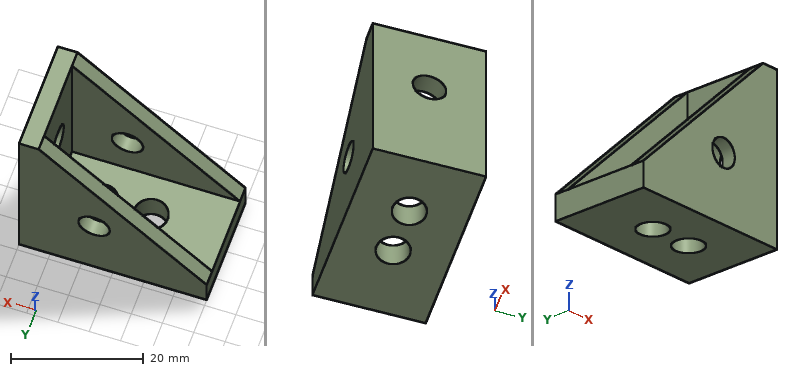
import cadquery as cq

leg = 30.0
width = 18.0

floor_thickness = 4.5
back_thickness = 3.15
cheek_thickness = 2.52

cheek_hole_diameter = 5.0
cheek_hole_x = 18.0
cheek_hole_z = 12.0
plate_hole_diameter = 5.3
floor_hole_positions = (12.0, 20.0)
back_hole_z = 18.0


def bracket_body():
    """Right-angle profile whose sloped side joins the ends of both plates."""
    profile = [
        (0, 0),
        (leg, 0),
        (leg, leg),
        (leg - back_thickness, leg),
        (0, floor_thickness),
    ]
    return cq.Workplane("XZ").polyline(profile).close().extrude(-width)


def inner_pocket():
    """Space between the cheeks, above the floor and in front of the back plate."""
    return cq.Workplane("XY").box(
        leg - back_thickness, width - 2 * cheek_thickness, leg - floor_thickness, centered=False
    ).translate((0, cheek_thickness, floor_thickness))


def cheek_holes():
    """One bore along Y through both cheeks."""
    return (
        cq.Workplane("XZ")
        .center(cheek_hole_x, cheek_hole_z)
        .circle(cheek_hole_diameter / 2)
        .extrude(-width)
    )


def floor_holes():
    """Vertical bores through the floor on the centre line."""
    centres = [(x, width / 2) for x in floor_hole_positions]
    return (
        cq.Workplane("XY")
        .pushPoints(centres)
        .circle(plate_hole_diameter / 2)
        .extrude(floor_thickness)
    )


def back_hole():
    """Bore along X through the back plate."""
    return (
        cq.Workplane("YZ", origin=(leg - back_thickness, 0, 0))
        .center(width / 2, back_hole_z)
        .circle(plate_hole_diameter / 2)
        .extrude(back_thickness)
    )


result = bracket_body().cut(inner_pocket()).cut(cheek_holes()).cut(floor_holes()).cut(back_hole())